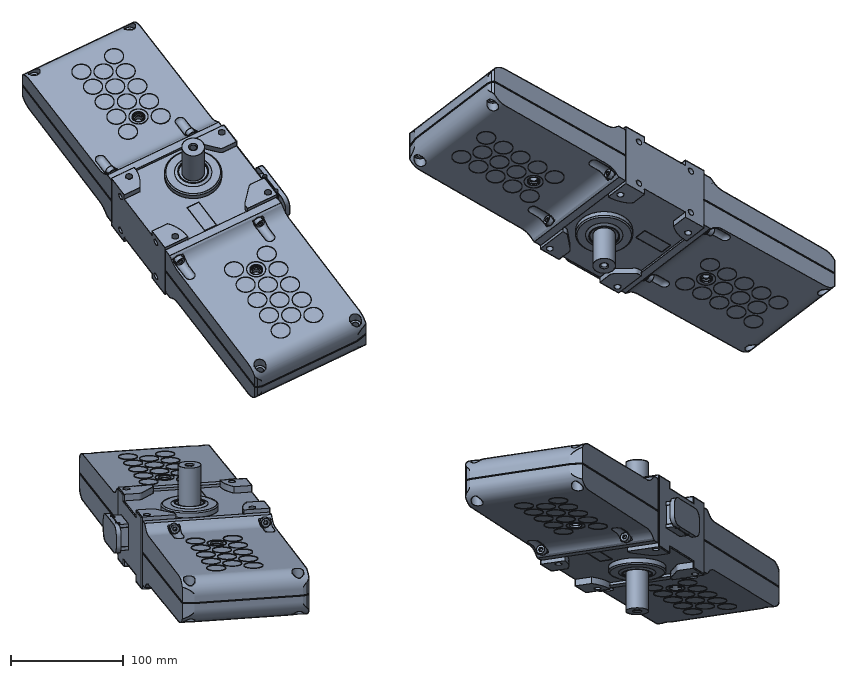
import cadquery as cq


HOUSING_WIDTH = 91.7
HOUSING_HALF_WIDTH = HOUSING_WIDTH / 2
HOUSING_FRONT_Y = -65.5
HOUSING_BACK_Y = 51.7
HOUSING_HALF_HEIGHT = 27.5
HOUSING_BACK_CHAMFER = 1.0
HOUSING_DEPTH = HOUSING_BACK_Y - HOUSING_FRONT_Y
HOUSING_MID_Y = (HOUSING_BACK_Y + HOUSING_FRONT_Y) / 2

PAD_TOP_Z = 33.5
PAD_HEIGHT = PAD_TOP_Z - HOUSING_HALF_HEIGHT
PAD_INNER_X = 24.0
BACK_PAD_INNER_Y = 35.5
BACK_PAD_OUTER_X = 41.0
BACK_PAD_OUTER_Y = 20.0
BACK_PAD_BEND_RADIUS = 4.0
FRONT_PAD_OUTER_Y = -41.5
FRONT_PAD_INNER_Y = -49.3
FRONT_PAD_RADIUS = 34.5

SCREW_HOLE_DIAMETER = 6.0
SCREW_HOLE_DEPTH = 8.0
DRILL_POINT_HEIGHT = 1.5
PAD_HOLE_X = 39.5
PAD_HOLE_YS = (-51.0, 45.2)
FACE_HOLE_X = 30.5
FACE_HOLE_Z = 24.2

LABEL_LENGTH = 30.5
LABEL_WIDTH = 12.0
LABEL_X = 28.3
LABEL_Y = -16.5
LABEL_DEPTH = 0.5

SHAFT_X = -14.5
SHAFT_Y = 0.5
SHAFT_DIAMETER = 20.0
SHAFT_LENGTH = 138.0
CENTRE_HOLE_DIAMETER = 6.0
CENTRE_HOLE_DEPTH = 12.0
CENTRE_SINK_DIAMETER = 8.0
CENTRE_SINK_ANGLE = 90
COVER_RADIUS = 25.5
COVER_TOP_Z = 33.0
COVER_CHAMFER = 1.2
COLLAR_RADIUS = 16.5
COLLAR_TOP_RADIUS = 13.7
COLLAR_TOP_Z = 34.5
COLLAR_RECESS_RADIUS = 13.0

CONNECTOR_X = 18.0
STEM_WIDTH = 28.3
STEM_HEIGHT = 24.2
STEM_GROOVE_HEIGHT = 17.8
STEM_GROOVE_DEPTH = 1.0
FLANGE_BACK_Y = 65.5
FLANGE_THICKNESS = 4.5
FLANGE_WIDTH = 51.0
FLANGE_HEIGHT = 26.0
FLANGE_CORNER_RADIUS = 8.5
STEM_HOLE_DIAMETER = 4.0
STEM_HOLE_DEPTH = 4.0
STEM_HOLE_OFFSET = 9.5
STEM_HOLE_Y = 60.5

WING_END_X = -202.0
WING_FRONT_Y = -65.0
WING_BACK_Y = 50.5
END_RADIUS = 15.5
WING_END_Z = 21.5
WING_ROOT_Z = 22.5
ROOT_X = -68.0
NECK_FOOT_X = -55.5
NECK_FOOT_Z = 28.5
NECK_TOP_X = -53.5
NECK_TOP_Z = 30.0
ROOT_ARC_MID_X = -61.0
ROOT_ARC_MID_Z = 24.2
END_CORNER_X = 3.0
END_BACK_CORNER_Y = 11.0
END_FRONT_CORNER_Y = 6.0
END_FRONT_BEND_X = 1.2
END_FRONT_BEND_Y = 2.0
SEAM_WIDTH = 1.0
SEAM_DEPTH = 0.5

END_HOLE_X = -193.5
END_HOLE_YS = (-56.0, 43.0)
END_HOLE_DIAMETER = 6.0
END_BORE_DIAMETER = 10.5
END_BORE_FLOOR_Z = 12.0

WING_SCREW_YS = (-58.0, 24.5)
WING_SCREW_Z = 25.0
SLOT_RADIUS = 5.3
SLOT_END_X = -81.5
SLOT_END_FILLET = 5.0
SCREW_SEAT_X = -56.0
SEAT_RECESS_DIAMETER = 11.5
SEAT_RECESS_LENGTH = 1.5
SCREW_HEAD_DIAMETER = 8.0
SCREW_HEAD_HEIGHT = 5.0
SCREW_SOCKET_SIDES = 6
SCREW_SOCKET_DIAMETER = 4.0
SCREW_SOCKET_DEPTH = 2.5

DIMPLE_DIAMETER = 17.0
DIMPLE_DEPTH = 0.5
DIMPLE_PITCH_Y = 17.0
DIMPLE_FIRST_X = -171.0
DIMPLE_MID_Y = -4.0
OUTER_ROW_COUNT = 5
OUTER_ROW_LENGTH = 80.0
DIMPLE_PITCH_X = OUTER_ROW_LENGTH / (OUTER_ROW_COUNT - 1)
MIDDLE_ROW_COUNT = 3
PORT_STEPS = ((11.5, 2.0), (9.5, 4.0), (7.0, 8.0))


def both_sides(shape, plane):
    """Return the shape united with its mirror image in the given plane."""
    return shape.union(shape.mirror(plane))


def cylinder_up(x, y, bottom_z, height, diameter):
    """Return an upright cylinder standing at bottom_z."""
    return cq.Workplane(origin=(x, y, bottom_z)).circle(diameter / 2).extrude(height)


def corner_pads():
    """Four pads on the +X and -X edges of the housing top."""
    back = (
        cq.Workplane(origin=(0, 0, HOUSING_HALF_HEIGHT))
        .moveTo(-HOUSING_HALF_WIDTH, HOUSING_BACK_Y)
        .lineTo(-PAD_INNER_X, HOUSING_BACK_Y)
        .lineTo(-PAD_INNER_X, BACK_PAD_INNER_Y)
        .lineTo(-BACK_PAD_OUTER_X, BACK_PAD_OUTER_Y)
        .lineTo(-HOUSING_HALF_WIDTH, BACK_PAD_OUTER_Y)
        .close()
        .extrude(PAD_HEIGHT)
    )
    for x, y in ((-PAD_INNER_X, BACK_PAD_INNER_Y), (-BACK_PAD_OUTER_X, BACK_PAD_OUTER_Y)):
        bend = cq.NearestToPointSelector((x, y, HOUSING_HALF_HEIGHT + PAD_HEIGHT / 2))
        back = back.edges("|Z").edges(bend).fillet(BACK_PAD_BEND_RADIUS)
    front = (
        cq.Workplane(origin=(0, 0, HOUSING_HALF_HEIGHT))
        .moveTo(-HOUSING_HALF_WIDTH, HOUSING_FRONT_Y)
        .lineTo(-HOUSING_HALF_WIDTH, FRONT_PAD_OUTER_Y)
        .radiusArc((-PAD_INNER_X, FRONT_PAD_INNER_Y), FRONT_PAD_RADIUS)
        .lineTo(-PAD_INNER_X, HOUSING_FRONT_Y)
        .close()
        .extrude(PAD_HEIGHT)
    )
    return both_sides(back, "YZ").union(both_sides(front, "YZ"))


def bearing_cover():
    """Chamfered round cover with a tapered, hollow collar: half a section turned about the shaft axis."""
    return (
        cq.Workplane("XZ", origin=(SHAFT_X, SHAFT_Y, 0))
        .moveTo(0, 0)
        .lineTo(COVER_RADIUS, 0)
        .lineTo(COVER_RADIUS, COVER_TOP_Z - COVER_CHAMFER)
        .lineTo(COVER_RADIUS - COVER_CHAMFER, COVER_TOP_Z)
        .lineTo(COLLAR_RADIUS, COVER_TOP_Z)
        .lineTo(COLLAR_TOP_RADIUS, COLLAR_TOP_Z)
        .lineTo(COLLAR_RECESS_RADIUS, COLLAR_TOP_Z)
        .lineTo(COLLAR_RECESS_RADIUS, COVER_TOP_Z)
        .lineTo(0, COVER_TOP_Z)
        .close()
        .revolve(360, (0, 0, 0), (0, 1, 0))
    )


def connector():
    """Stem with grooved sides, and the wider flange of the connector."""
    stem = (
        cq.Workplane("XZ", origin=(CONNECTOR_X, HOUSING_BACK_Y, 0))
        .rect(STEM_WIDTH, STEM_HEIGHT)
        .extrude(HOUSING_BACK_Y - FLANGE_BACK_Y)
    )
    side_grooves = (
        cq.Workplane("XZ", origin=(CONNECTOR_X, HOUSING_BACK_Y, 0))
        .pushPoints([(-STEM_WIDTH / 2, 0), (STEM_WIDTH / 2, 0)])
        .rect(2 * STEM_GROOVE_DEPTH, STEM_GROOVE_HEIGHT)
        .extrude(HOUSING_BACK_Y - FLANGE_BACK_Y)
    )
    flange = (
        cq.Workplane("XZ", origin=(CONNECTOR_X, FLANGE_BACK_Y, 0))
        .rect(FLANGE_WIDTH, FLANGE_HEIGHT)
        .extrude(FLANGE_THICKNESS)
        .edges("|Y")
        .fillet(FLANGE_CORNER_RADIUS)
    )
    return stem.cut(side_grooves).union(flange)


def screw_hole(mouth, direction):
    """Blind hole with a conical drill point, going from its mouth in the given direction."""
    radius = SCREW_HOLE_DIAMETER / 2
    bore = cq.Solid.makeCylinder(radius, SCREW_HOLE_DEPTH, mouth, direction)
    point = cq.Solid.makeCone(radius, 0, DRILL_POINT_HEIGHT, mouth + direction * SCREW_HOLE_DEPTH, direction)
    return cq.Workplane(bore).union(cq.Workplane(point))


def housing_top_cuts():
    """Pad holes, label recess and connector holes of the upper half."""
    cuts = (
        cq.Workplane(origin=(LABEL_X, LABEL_Y, HOUSING_HALF_HEIGHT))
        .rect(LABEL_LENGTH, LABEL_WIDTH)
        .extrude(-LABEL_DEPTH)
    )
    for side in (-1, 1):
        for y in PAD_HOLE_YS:
            mouth = cq.Vector(side * PAD_HOLE_X, y, PAD_TOP_Z)
            cuts = cuts.union(screw_hole(mouth, cq.Vector(0, 0, -1)))
        stem_hole_x = CONNECTOR_X + side * STEM_HOLE_OFFSET
        cuts = cuts.union(
            cylinder_up(stem_hole_x, STEM_HOLE_Y, FLANGE_HEIGHT / 2, -STEM_HOLE_DEPTH, STEM_HOLE_DIAMETER)
        )
    return cuts


def front_face_holes():
    """Four screw holes in the front face."""
    holes = cq.Workplane()
    for side in (-1, 1):
        for z in (-FACE_HOLE_Z, FACE_HOLE_Z):
            mouth = cq.Vector(side * FACE_HOLE_X, HOUSING_FRONT_Y, z)
            holes = holes.union(screw_hole(mouth, cq.Vector(0, 1, 0)))
    return holes


def make_housing():
    """Gearbox housing with pads, bearing covers and connector."""
    block = cq.Workplane(origin=(0, HOUSING_MID_Y, 0)).box(
        HOUSING_WIDTH, HOUSING_DEPTH, 2 * HOUSING_HALF_HEIGHT
    )
    shaft_hole = cylinder_up(SHAFT_X, SHAFT_Y, -SHAFT_LENGTH / 2, SHAFT_LENGTH, SHAFT_DIAMETER)
    return (
        block.union(both_sides(corner_pads(), "XY"))
        .faces(">Y")
        .chamfer(HOUSING_BACK_CHAMFER)
        .union(both_sides(bearing_cover(), "XY"))
        .union(connector())
        .cut(both_sides(housing_top_cuts(), "XY"))
        .cut(front_face_holes())
        .cut(shaft_hole)
    )


def make_shaft():
    """Through shaft with a countersunk centre hole in each end."""
    return (
        cylinder_up(SHAFT_X, SHAFT_Y, -SHAFT_LENGTH / 2, SHAFT_LENGTH, SHAFT_DIAMETER)
        .faces(">Z")
        .workplane()
        .cskHole(CENTRE_HOLE_DIAMETER, CENTRE_SINK_DIAMETER, CENTRE_SINK_ANGLE, CENTRE_HOLE_DEPTH)
        .faces("<Z")
        .workplane()
        .cskHole(CENTRE_HOLE_DIAMETER, CENTRE_SINK_DIAMETER, CENTRE_SINK_ANGLE, CENTRE_HOLE_DEPTH)
    )


def wing_surface_z(x):
    """Height of the gently sloping wing top at x."""
    end_x = WING_END_X + END_RADIUS
    slope = (WING_ROOT_Z - WING_END_Z) / (ROOT_X - end_x)
    return WING_END_Z + slope * (x - end_x)


def wing_plan(inset, height):
    """Plan outline of the wing with its free edges moved in, centred on Z = 0."""
    end_x = WING_END_X + inset
    front_y = WING_FRONT_Y + inset
    back_y = WING_BACK_Y - inset
    return (
        cq.Workplane(origin=(0, 0, -height / 2))
        .moveTo(-HOUSING_HALF_WIDTH, front_y)
        .lineTo(end_x + END_CORNER_X, front_y)
        .lineTo(end_x + END_FRONT_BEND_X, front_y + END_FRONT_BEND_Y)
        .lineTo(end_x, front_y + END_FRONT_CORNER_Y)
        .lineTo(end_x, back_y - END_BACK_CORNER_Y)
        .lineTo(end_x + END_CORNER_X, back_y)
        .lineTo(-HOUSING_HALF_WIDTH, back_y)
        .close()
        .extrude(height)
    )


def wing_body():
    """Wing profile in XZ, with the vertical corners of its end cut off and a seam groove."""
    upper_half = (
        cq.Workplane("XZ", origin=(0, WING_FRONT_Y, 0))
        .moveTo(-HOUSING_HALF_WIDTH, 0)
        .lineTo(-HOUSING_HALF_WIDTH, NECK_TOP_Z)
        .lineTo(NECK_TOP_X, NECK_TOP_Z)
        .lineTo(NECK_FOOT_X, NECK_FOOT_Z)
        .threePointArc((ROOT_ARC_MID_X, ROOT_ARC_MID_Z), (ROOT_X, WING_ROOT_Z))
        .lineTo(WING_END_X + END_RADIUS, WING_END_Z)
        .radiusArc((WING_END_X, WING_END_Z - END_RADIUS), -END_RADIUS)
        .lineTo(WING_END_X, 0)
        .close()
        .extrude(WING_FRONT_Y - WING_BACK_Y)
    )
    seam_outer = wing_plan(0, SEAM_WIDTH)
    seam_core = wing_plan(SEAM_DEPTH, SEAM_WIDTH)
    return (
        both_sides(upper_half, "XY").intersect(wing_plan(0, 2 * NECK_TOP_Z)).cut(seam_outer.cut(seam_core))
    )


def end_hole_cuts():
    """Counterbored holes near the wing end."""
    cuts = cq.Workplane()
    for y in END_HOLE_YS:
        cuts = cuts.union(cylinder_up(END_HOLE_X, y, 0, NECK_TOP_Z, END_HOLE_DIAMETER))
        cuts = cuts.union(cylinder_up(END_HOLE_X, y, END_BORE_FLOOR_Z, NECK_TOP_Z, END_BORE_DIAMETER))
    return cuts


def screw_slots():
    """Slots with a rounded bottom and end, each running up to the recess at its screw seat."""
    slots = cq.Workplane()
    for y in WING_SCREW_YS:
        slot = (
            cq.Workplane("YZ", origin=(SLOT_END_X, y, WING_SCREW_Z))
            .circle(SLOT_RADIUS)
            .extrude(SCREW_SEAT_X - SLOT_END_X)
            .faces("<X")
            .edges()
            .fillet(SLOT_END_FILLET)
        )
        recess = (
            cq.Workplane("YZ", origin=(SCREW_SEAT_X, y, WING_SCREW_Z))
            .circle(SEAT_RECESS_DIAMETER / 2)
            .extrude(-SEAT_RECESS_LENGTH)
        )
        slots = slots.union(slot).union(recess)
    return slots


def screw_heads():
    """Socket heads that stand on the screw seats."""
    heads = cq.Workplane()
    for y in WING_SCREW_YS:
        head = (
            cq.Workplane("YZ", origin=(SCREW_SEAT_X, y, WING_SCREW_Z))
            .circle(SCREW_HEAD_DIAMETER / 2)
            .extrude(-SCREW_HEAD_HEIGHT)
            .faces("<X")
            .workplane()
            .polygon(SCREW_SOCKET_SIDES, SCREW_SOCKET_DIAMETER)
            .cutBlind(-SCREW_SOCKET_DEPTH)
        )
        heads = heads.union(head)
    return heads


def dimple(x, y):
    """Cutter for one shallow dimple."""
    return cylinder_up(x, y, wing_surface_z(x) - DIMPLE_DEPTH, 2 * DIMPLE_DEPTH, DIMPLE_DIAMETER)


def dimple_cuts():
    """Two outer rows of dimples, and a shifted middle row that ends in the port."""
    cuts = cq.Workplane()
    for i in range(OUTER_ROW_COUNT):
        x = DIMPLE_FIRST_X + i * DIMPLE_PITCH_X
        for row in (-1, 1):
            cuts = cuts.union(dimple(x, DIMPLE_MID_Y + row * DIMPLE_PITCH_Y))
    middle_x = DIMPLE_FIRST_X + DIMPLE_PITCH_X / 2
    for i in range(MIDDLE_ROW_COUNT + 1):
        cuts = cuts.union(dimple(middle_x + i * DIMPLE_PITCH_X, DIMPLE_MID_Y))
    port_x = middle_x + MIDDLE_ROW_COUNT * DIMPLE_PITCH_X
    port_z = wing_surface_z(port_x)
    for diameter, depth in PORT_STEPS:
        cuts = cuts.union(cylinder_up(port_x, DIMPLE_MID_Y, port_z, -depth, diameter))
    return cuts


def make_left_wing():
    """Wing cover on the -X side."""
    cuts = end_hole_cuts().union(screw_slots()).union(dimple_cuts())
    return wing_body().cut(both_sides(cuts, "XY")).union(both_sides(screw_heads(), "XY"))


housing = make_housing()
shaft = make_shaft()
left_wing = make_left_wing()
right_wing = left_wing.mirror("YZ")

result = cq.Compound.makeCompound([housing.val(), shaft.val(), left_wing.val(), right_wing.val()])